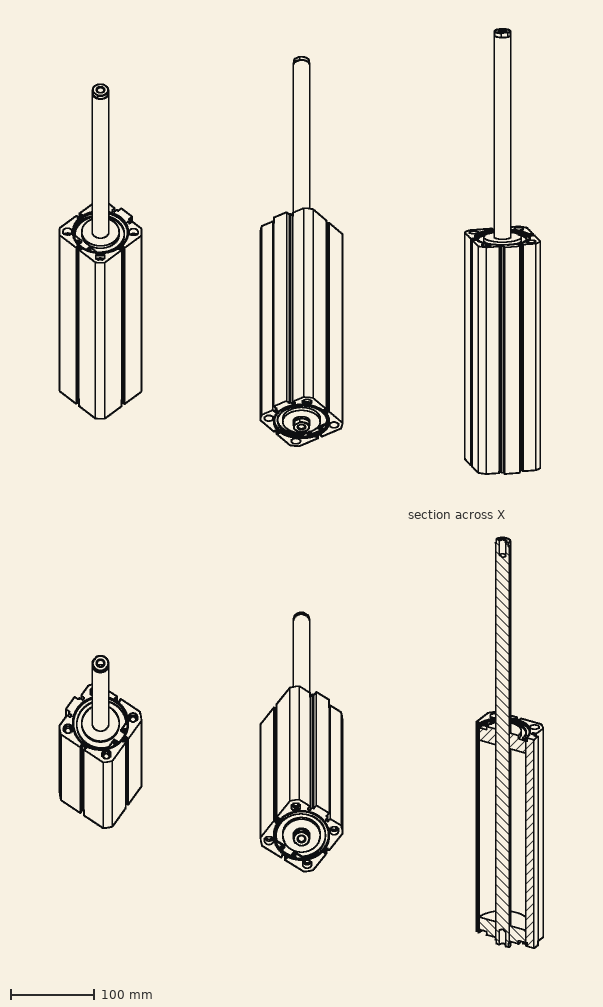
import cadquery as cq
import math


total_length = 551.0
housing_length = 284.5
bottom_overhang = 8.0

housing_width = 77.5
housing_depth = 83.0
corner_radius = 49.5
slot_floor = 34.0
slot_mouth_width = 5.0
slot_inner_width = 6.5
slot_lip = 2.0
rail_top = housing_depth - housing_width / 2
rail_width = 19.0
rail_foot_width = 23.0
rail_slot_width = 30.0

screw_spacing = 56.0
screw_hole_diameter = 6.5
screw_head_diameter = 11.0
screw_head_depth = 9.0

bore_radius = 32.5
mouth_radius = 33.5
mouth_depth = 1.0
groove_radius = 34.5
ring_thickness = 2.0
ring_depth = 2.0

cover_length = 22.0
cover_boss_radius = 22.5
cover_recess = ring_depth + ring_thickness

ring_opening_radius = 30.0
ring_opening_offset = 1.4
ring_gap = 14.0
ear_inner_edge = 25.0
ear_hole_diameter = 3.0
ear_hole_x = 10.0
ear_hole_y = -28.0

rod_diameter = 20.5
neck_diameter = 19.5
neck_length = 5.5
neck_chamfer = 0.5
neck_flats = 17.5
thread_radius = 4.15
thread_depth = 20.0
thread_chamfer = 0.8
drill_point_angle = 118.0


def cylinder(radius, z_start, z_end):
    return cq.Workplane("XY").workplane(offset=z_start).circle(radius).extrude(z_end - z_start)


def block(x_size, y_start, y_end, z_start, z_end):
    """A box centred on X = 0."""
    return (
        cq.Workplane("XY")
        .box(x_size, y_end - y_start, z_end - z_start, centered=(True, False, False))
        .translate((0, y_start, z_start))
    )


def at_both_ends(top_body):
    """The given body for the top end, and its mirror image for the bottom end."""
    bottom_body = top_body.mirror("XY", (0, 0, housing_length / 2))
    return [top_body, bottom_body]


def make_profile():
    """The outer bar: turned corners, three narrow slots, and the rail in a wide slot."""
    half_width = housing_width / 2
    profile = block(housing_width, -half_width, half_width, 0, housing_length)
    profile = profile.intersect(cylinder(corner_radius, 0, housing_length))
    slot_mouth = block(slot_mouth_width, slot_floor, half_width, 0, housing_length)
    slot_inside = block(slot_inner_width, slot_floor, half_width - slot_lip, 0, housing_length)
    narrow_slot = slot_mouth.union(slot_inside)
    for angle in (90, 180, 270):
        profile = profile.cut(narrow_slot.rotate((0, 0, 0), (0, 0, 1), angle))
    profile = profile.cut(block(rail_slot_width, slot_floor, half_width, 0, housing_length))
    rail_foot = block(rail_foot_width, slot_floor, half_width, 0, housing_length)
    rail = block(rail_width, slot_floor, rail_top, 0, housing_length)
    return profile.union(rail_foot).union(rail)


def make_bore():
    """The space inside the housing, with a wider mouth and a ring groove at each end."""
    bore = cylinder(bore_radius, 0, housing_length)
    mouth = cylinder(mouth_radius, housing_length - mouth_depth, housing_length)
    groove_top = housing_length - ring_depth
    groove = cylinder(groove_radius, groove_top - ring_thickness, groove_top)
    for cutter in at_both_ends(mouth) + at_both_ends(groove):
        bore = bore.union(cutter)
    return bore


def make_screw_holes():
    holes = cq.Workplane("XY").rect(screw_spacing, screw_spacing, forConstruction=True).vertices()
    through = holes.circle(screw_hole_diameter / 2).extrude(housing_length)
    heads = (
        cq.Workplane("XY").workplane(offset=housing_length - screw_head_depth)
        .rect(screw_spacing, screw_spacing, forConstruction=True).vertices()
        .circle(screw_head_diameter / 2).extrude(screw_head_depth)
    )
    return [through] + at_both_ends(heads)


def make_housing():
    housing = make_profile().cut(make_bore())
    for hole in make_screw_holes():
        housing = housing.cut(hole)
    return housing


def make_top_cover():
    ledge = housing_length - cover_recess
    cover = cylinder(bore_radius, housing_length - cover_length, ledge)
    cover = cover.union(cylinder(cover_boss_radius, ledge, housing_length))
    return cover.cut(cylinder(rod_diameter / 2, 0, housing_length))


def make_top_ring():
    z_end = housing_length - ring_depth
    z_start = z_end - ring_thickness
    disc = cylinder(groove_radius, z_start, z_end)
    opening = cylinder(ring_opening_radius, z_start, z_end).translate((0, -ring_opening_offset, 0))
    ears = disc.intersect(block(2 * groove_radius, -groove_radius, -ear_inner_edge, z_start, z_end))
    ring = disc.cut(opening).union(ears)
    ring = ring.cut(block(ring_gap, -groove_radius, -ear_inner_edge, z_start, z_end))
    ear_hole = cylinder(ear_hole_diameter / 2, z_start, z_end)
    for side in (-1, 1):
        ring = ring.cut(ear_hole.translate((side * ear_hole_x, ear_hole_y, 0)))
    return ring


def make_end_hole():
    """A threaded hole's space, opening upward at Z = 0, with a countersink and a drill point."""
    countersink_radius = thread_radius + thread_chamfer
    point_length = thread_radius / math.tan(math.radians(drill_point_angle / 2))
    return (
        cq.Workplane("XZ")
        .polyline([
            (0, 0),
            (countersink_radius, 0),
            (thread_radius, -thread_chamfer),
            (thread_radius, -thread_depth),
            (0, -thread_depth - point_length),
        ])
        .close().revolve(360, (0, 0, 0), (0, 1, 0))
    )


def make_rod():
    """The rod, with a necked, flattened and threaded end at the top and at the bottom."""
    half_length = total_length / 2
    shoulder = half_length - neck_length
    neck = cylinder(neck_diameter / 2, shoulder, half_length).faces(">Z").chamfer(neck_chamfer)
    neck = neck.intersect(block(neck_diameter, -neck_flats / 2, neck_flats / 2, shoulder, half_length))
    hole = make_end_hole().translate((0, 0, half_length))
    rod = cylinder(rod_diameter / 2, -shoulder, shoulder)
    for turn in (0, 180):
        rod = rod.union(neck.rotate((0, 0, 0), (1, 0, 0), turn))
        rod = rod.cut(hole.rotate((0, 0, 0), (1, 0, 0), turn))
    return rod.translate((0, 0, half_length - bottom_overhang))


housing = make_housing()
rod = make_rod()
covers = at_both_ends(make_top_cover())
rings = at_both_ends(make_top_ring())

result = cq.Compound.makeCompound(
    [housing.val(), rod.val()]
    + [cover.val() for cover in covers]
    + [ring.val() for ring in rings]
)